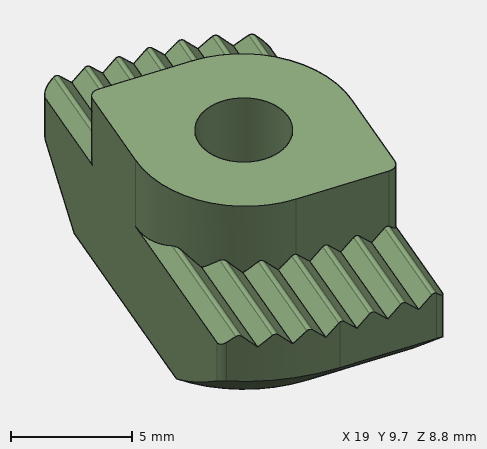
import cadquery as cq
import math

length = 19.0
width = 9.7
height = 8.8
swing_radius = length / 2
half_width = width / 2

crest_height = 5.8
bevel_height = 3.29
corner_radius = 0.48

tooth_count = 7
tooth_pitch = 1.4
crest_radius = 0.17
crest_half_width = crest_radius * math.sin(math.radians(45))
shoulder_drop = crest_radius - crest_half_width
shoulder_height = crest_height - shoulder_drop
valley_height = shoulder_height - (tooth_pitch / 2 - crest_half_width)

neck_swing_radius = 5.0
hole_diameter = 4.05


def base_outline():
    """Rectangle with two opposite ends swung about the hole axis."""
    arc_end_x = math.sqrt(swing_radius**2 - half_width**2)
    mid_angle = math.asin(half_width / swing_radius) / 2
    mid_x = swing_radius * math.cos(mid_angle)
    mid_y = swing_radius * math.sin(mid_angle)
    return (
        cq.Workplane("XY")
        .moveTo(-swing_radius, -half_width)
        .lineTo(arc_end_x, -half_width)
        .threePointArc((mid_x, -mid_y), (swing_radius, 0))
        .lineTo(swing_radius, half_width)
        .lineTo(-arc_end_x, half_width)
        .threePointArc((-mid_x, mid_y), (-swing_radius, 0))
        .close()
    )


def bevel_half_section():
    """Half section with a 45 degree bevel up from the underside."""
    return (
        cq.Workplane("XZ")
        .lineTo(swing_radius - bevel_height, 0)
        .lineTo(swing_radius, bevel_height)
        .lineTo(swing_radius, crest_height)
        .lineTo(0, crest_height)
        .close()
    )


def bevel_envelope():
    """Flat bevels at the straight ends, conical bevels at the swung ends."""
    turned = bevel_half_section().revolve(360, (0, 0, 0), (0, 1, 0))
    straight_half = bevel_half_section().extrude(-half_width)
    opposite_half = straight_half.rotate((0, 0, 0), (0, 0, 1), 180)
    return turned.union(straight_half).union(opposite_half)


def toothed_bar():
    """Bar along X whose top carries the full row of teeth."""
    row_end_y = -half_width + tooth_count * tooth_pitch
    profile = (
        cq.Workplane("YZ", origin=(-swing_radius, 0, 0))
        .moveTo(-half_width, 0)
        .lineTo(-half_width, valley_height)
    )
    for tooth in range(tooth_count):
        crest_y = -half_width + (tooth + 0.5) * tooth_pitch
        profile = (
            profile.lineTo(crest_y - crest_half_width, shoulder_height)
            .threePointArc((crest_y, crest_height), (crest_y + crest_half_width, shoulder_height))
            .lineTo(crest_y + tooth_pitch / 2, valley_height)
        )
    return profile.lineTo(row_end_y, 0).close().extrude(length)


def base():
    blank = base_outline().extrude(crest_height)
    corners = blank.edges("|Z").filter(lambda edge: abs(edge.Center().y) > half_width / 2)
    return corners.fillet(corner_radius).intersect(bevel_envelope()).intersect(toothed_bar())


def neck():
    """Square neck with two opposite corners rounded so it can turn in the slot."""
    neck_height = height - bevel_height
    block = (
        cq.Workplane("XY", origin=(0, 0, bevel_height))
        .rect(width, width)
        .extrude(neck_height)
    )
    swung = block.edges("|Z").filter(lambda edge: edge.Center().x * edge.Center().y < 0)
    block = swung.fillet(neck_swing_radius)
    small = block.edges("|Z").filter(
        lambda edge: edge.Center().x * edge.Center().y > half_width**2 / 2
    )
    return small.fillet(corner_radius)


hole = cq.Workplane("XY").circle(hole_diameter / 2).extrude(height)
result = base().union(neck()).cut(hole)